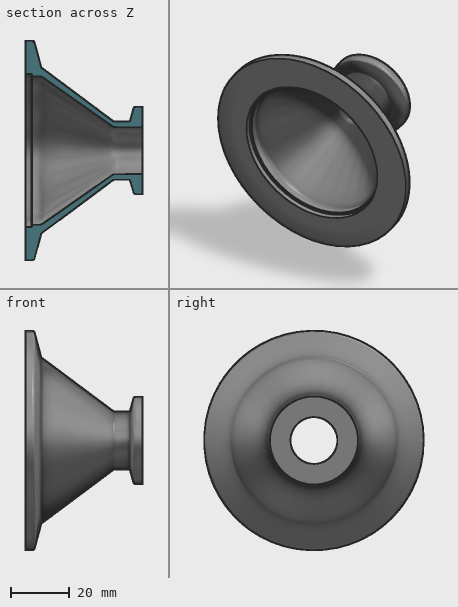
import cadquery as cq
import math

length = 40.0
large_flange_radius = 37.5
small_flange_radius = 15.0

rim_width = 3.0
flange_slope = math.tan(math.radians(15))
rim_fillet = 1.0
flange_root_fillet = 0.5

cone_base_radius = 28.35
neck_radius = 10.0
neck_start = 30.1
neck_fillet = 0.75

neck_wall = 2.0
bore_radius = neck_radius - neck_wall
seat_radius = 26.1
seat_depth = 2.0
seat_chamfer = 0.2
entry_radius = 25.3
bore_fillet = 2.6

cone_start = rim_width + (large_flange_radius - cone_base_radius) * flange_slope
small_rim_start = length - rim_width
neck_end = small_rim_start - (small_flange_radius - neck_radius) * flange_slope


def revolve_profile(points):
    """Revolve (axial, radial) points about the X axis."""
    return cq.Workplane("XY").polyline(points).close().revolve(360, (0, 0, 0), (1, 0, 0))


def fillet_circle(body, place, radius, fillet):
    """Round the circular edge at an axial place with the given radius."""
    margin = 0.04
    reach = radius + margin
    edge = cq.selectors.BoxSelector(
        (place - margin, -reach, -reach), (place + margin, reach, reach), boundingbox=True
    )
    return body.edges(edge).fillet(fillet)


outer = revolve_profile([
    (0, 0),
    (0, large_flange_radius),
    (rim_width, large_flange_radius),
    (cone_start, cone_base_radius),
    (neck_start, neck_radius),
    (neck_end, neck_radius),
    (small_rim_start, small_flange_radius),
    (length, small_flange_radius),
    (length, 0),
])
outer = fillet_circle(outer, rim_width, large_flange_radius, rim_fillet)
outer = fillet_circle(outer, cone_start, cone_base_radius, flange_root_fillet)
outer = fillet_circle(outer, neck_start, neck_radius, neck_fillet)
outer = fillet_circle(outer, neck_end, neck_radius, flange_root_fillet)
outer = fillet_circle(outer, small_rim_start, small_flange_radius, rim_fillet)

cavity = revolve_profile([
    (0, 0),
    (0, seat_radius),
    (seat_depth, seat_radius),
    (seat_depth + seat_chamfer, seat_radius - seat_chamfer),
    (seat_depth + seat_chamfer, entry_radius),
    (cone_start, entry_radius),
    (neck_start, bore_radius),
    (length, bore_radius),
    (length, 0),
])
cavity = fillet_circle(cavity, cone_start, entry_radius, bore_fillet)
cavity = fillet_circle(cavity, neck_start, bore_radius, bore_fillet)

result = outer.cut(cavity)